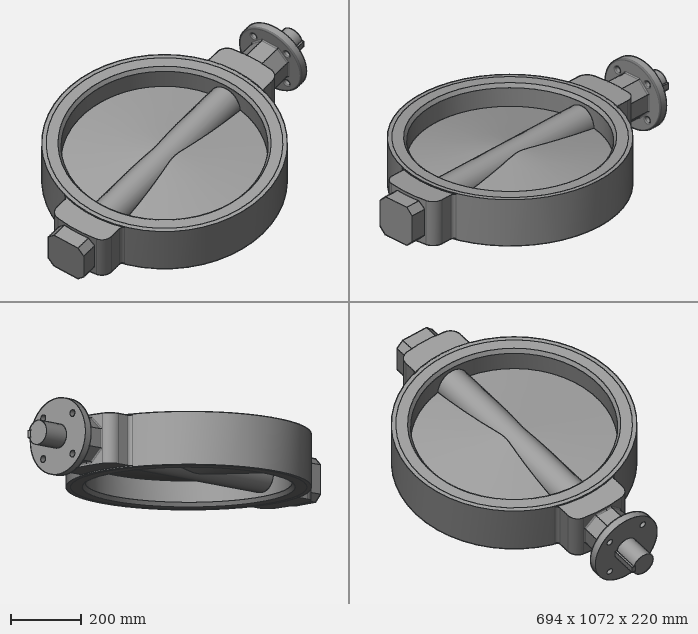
import cadquery as cq

ring_radius = 347.0
ring_height = 152.0
lug_width = 193.0
lug_height = 145.0
lug_end_radius = 419.0
lug_corner_radius = 34.0
lug_root_radius = 13.0

neck_width = 125.0
upper_neck_bevel = 35.0
lower_neck_bevel = 20.0
lower_neck_end = -466.0
neck_root_radius = 3.0

flange_diameter = 220.0
flange_inner_face = 500.0
flange_outer_face = 525.0
flange_edge_chamfer = 2.0
bolt_hole_diameter = 19.0
bolt_circle_radius = 83.0
bolt_count = 4

liner_radius = 335.0
bore_radius = 293.0
bore_mouth_radius = 301.0
bore_chamfer_depth = 12.0

disc_edge_half_thickness = 3.0
disc_centre_half_thickness = 46.0
boss_diameter = 105.0

stem_diameter = 70.0
overall_length = 1072
stem_end = lower_neck_end + overall_length
key_width = 20.0
key_base_x = 28.0
key_top_x = 40.0


def y_cylinder(diameter, start, end):
    """Cylinder centred on the Y axis between two Y positions."""
    return cq.Workplane("XZ", origin=(0, start, 0)).circle(diameter / 2).extrude(start - end)


def z_cylinder(radius, height):
    """Cylinder centred on the Z axis and on the XY plane."""
    return cq.Workplane("XY", origin=(0, 0, -height / 2)).circle(radius).extrude(height)


def stem_rod():
    """Full-length round rod of the stem, which also cuts the hole it passes through."""
    return y_cylinder(stem_diameter, 0, stem_end)


def make_neck(bevel, start, end):
    """Square bar along Y with bevelled long edges."""
    bar = cq.Workplane("XZ", origin=(0, start, 0)).rect(neck_width, neck_width).extrude(start - end)
    return bar.edges("|Y").chamfer(bevel)


def make_lugged_ring():
    """Solid ring blank with both lugs, whose ends are concentric with the bore."""
    lugs = z_cylinder(lug_end_radius, lug_height)
    lugs = lugs.intersect(cq.Workplane("XY").box(lug_width, 2 * lug_end_radius, lug_height))
    lugs = lugs.edges("|Z").fillet(lug_corner_radius)
    blank = z_cylinder(ring_radius, ring_height).union(lugs)
    roots = cq.selectors.BoxSelector(
        (-lug_width, -ring_radius, -lug_height),
        (lug_width, ring_radius, lug_height),
    )
    return blank.edges("|Z").edges(roots).fillet(lug_root_radius)


def make_flange():
    """Round flange with a chamfered inner rim and bolt holes on the diagonals."""
    thickness = flange_outer_face - flange_inner_face
    flange = y_cylinder(flange_diameter, flange_inner_face, flange_outer_face)
    flange = flange.faces("<Y").edges().chamfer(flange_edge_chamfer)
    first_angle = 180 / bolt_count
    holes = (
        cq.Workplane("XZ", origin=(0, flange_inner_face, 0))
        .polarArray(bolt_circle_radius, first_angle, 360, bolt_count)
        .circle(bolt_hole_diameter / 2)
        .extrude(-thickness)
    )
    return flange.cut(holes)


def round_upper_neck_roots(body):
    """Fillet the bevelled outline of the upper neck where it meets the lug and the flange."""
    half_box = neck_width / 2 + neck_root_radius / 2
    outline = cq.selectors.BoxSelector(
        (-half_box, ring_radius, -half_box),
        (half_box, flange_inner_face + neck_root_radius, half_box),
    )
    return body.edges(outline).edges("not |Y").fillet(neck_root_radius)


def make_housing():
    """Ring, lugs, necks and flange in one piece, bored for the liner and the stem."""
    body = make_lugged_ring()
    body = body.union(make_neck(upper_neck_bevel, ring_radius, flange_inner_face))
    body = body.union(make_flange())
    body = round_upper_neck_roots(body)
    body = body.union(make_neck(lower_neck_bevel, lower_neck_end, -ring_radius))
    return body.cut(z_cylinder(liner_radius, ring_height)).cut(stem_rod())


def make_liner():
    """Ring that lines the housing, chamfered at both mouths of the bore."""
    half_height = ring_height / 2
    chamfer_start = half_height - bore_chamfer_depth
    profile = [
        (liner_radius, -half_height),
        (liner_radius, half_height),
        (bore_mouth_radius, half_height),
        (bore_radius, chamfer_start),
        (bore_radius, -chamfer_start),
        (bore_mouth_radius, -half_height),
    ]
    ring = cq.Workplane("XZ").polyline(profile).close().revolve(360, (0, 0), (0, 1))
    return ring.cut(stem_rod())


def make_disc():
    """Double cone that fills the bore, with a boss along Y trimmed to the bore wall."""
    profile = [
        (0, -disc_centre_half_thickness),
        (bore_radius, -disc_edge_half_thickness),
        (bore_radius, disc_edge_half_thickness),
        (0, disc_centre_half_thickness),
    ]
    cones = cq.Workplane("XZ").polyline(profile).close().revolve(360, (0, 0), (0, 1))
    boss = y_cylinder(boss_diameter, -liner_radius, liner_radius)
    boss = boss.intersect(z_cylinder(bore_radius, ring_height))
    return cones.union(boss)


def make_key():
    """Straight key on the +X side of the stem, from the flange to the stem end."""
    key_length = stem_end - flange_outer_face
    key = cq.Workplane("XY").box(key_top_x - key_base_x, key_length, key_width)
    return key.translate(((key_base_x + key_top_x) / 2, flange_outer_face + key_length / 2, 0))


def make_stem(key):
    """Round stem that starts against the disc boss, with a keyway for the key."""
    stem = stem_rod().cut(z_cylinder(bore_radius, ring_height))
    return stem.cut(key)


housing = make_housing()
liner = make_liner()
disc = make_disc()
key = make_key()
stem = make_stem(key)

result = cq.Compound.makeCompound([housing.val(), liner.val(), disc.val(), stem.val(), key.val()])